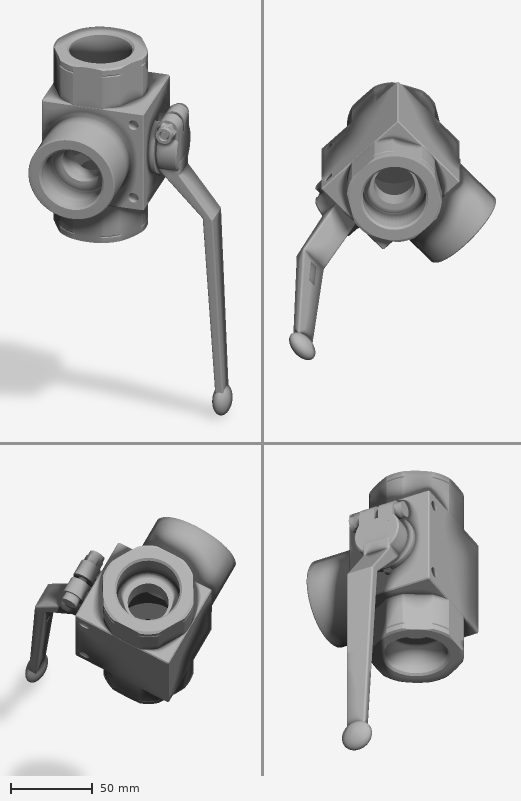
import cadquery as cq
import math


BLOCK_LEFT = -29.3
BLOCK_RIGHT = 35.8
BLOCK_LENGTH = BLOCK_RIGHT - BLOCK_LEFT
BLOCK_HALF_HEIGHT = 33.5
BLOCK_HALF_WIDTH = 27.6
BLOCK_CHAMFER = 0.7

PORT_TOP = 60.0
ACROSS_FLATS = 55.0
HEX_ROUND_RADIUS = 29.0
HEX_END_CHAMFER = 0.7
GROOVE_HEIGHT = 55.2
GROOVE_WIDTH = 1.2
GROOVE_DEPTH = 0.5

SIDE_PORT_END = 61.5
SIDE_PORT_RADIUS = 27.6
SIDE_PORT_CHAMFER = 0.7
NECK_FILLET = 2.0

PASSAGE_DIAMETER = 25.0
CAVITY_DIAMETER = 46.0
SOCKET_DIAMETER = 38.7
SOCKET_FLOOR_DIAMETER = 37.2
SOCKET_MOUTH_DIAMETER = 41.3
SOCKET_DEPTH = 22.3
FLOOR_BEVEL = (SOCKET_DIAMETER - SOCKET_FLOOR_DIAMETER) / 2
MOUTH_CHAMFER = (SOCKET_MOUTH_DIAMETER - SOCKET_DIAMETER) / 2

MOUNT_HOLE_DIAMETER = 6.5
MOUNT_HOLE_X = 29.3
MOUNT_HOLE_Z = 25.0

FLANGE_DIAMETER = 37.2
FLANGE_RIGHT = 39.5
FLANGE_NOTCH_DIAMETER = 10.0
STEM_DIAMETER = 20.0
STOP_PIN_DIAMETER = 4.8
STOP_PIN_RIGHT = 38.7
STOP_PIN_Z = -19.5

HUB_LEFT = FLANGE_RIGHT
HUB_RIGHT = 52.8
HUB_WIDTH = HUB_RIGHT - HUB_LEFT
HUB_RADIUS = 15.4
HUB_CHAMFER = 1.0
EAR_HALF_WIDTH = 11.5
EAR_RADIUS = HUB_WIDTH / 2
SLIT_WIDTH = 3.0

BOLT_X = (HUB_LEFT + HUB_RIGHT) / 2
BOLT_Z = 15.9
BOLT_DIAMETER = 6.0
HEAD_DIAMETER = 10.0
HEAD_END = 16.3
NUT_ACROSS_FLATS = 10.0
NUT_END = -16.5
COLLAR_END = -19.7
COLLAR_DIAMETER = NUT_ACROSS_FLATS
COLLAR_BORE_DIAMETER = 6.5
BOLT_TIP_DIAMETER = 4.8
BOLT_TIP_END = -18.7

ARM_ROOT_Z = -7.2
ARM_INNER_Z = -13.7
ARM_OUTER_X = 53.0
ARM_OUTER_Z = -15.4
BEND_Z = -43.0
BEND_INNER_X = 67.5
BEND_OUTER_X = 74.2
BLADE_END_Z = -165.7
BLADE_END_INNER_X = 74.7
BLADE_END_OUTER_X = 80.0
ARM_WIDTH = 18.3
BLADE_END_WIDTH = 12.5
LEVER_FILLET = 1.2

LABEL_WIDTH = 4.8
LABEL_TOP = -50.5
LABEL_BOTTOM = -79.3
LABEL_DEPTH = 0.5

KNOB_DIAMETER = 20.0
KNOB_RADIUS = KNOB_DIAMETER / 2
KNOB_HALF_THICKNESS = 5.8
KNOB_X = 77.5
OVERALL_HEIGHT = 240.2
KNOB_Z = PORT_TOP - OVERALL_HEIGHT + KNOB_RADIUS


def rod(start, end, diameter, axis, center=(0, 0)):
    """Cylinder along X, Y or Z; center gives the other two coordinates in axis order."""
    first, second = center
    points = {
        "X": ((start, first, second), (1, 0, 0)),
        "Y": ((first, start, second), (0, 1, 0)),
        "Z": ((first, second, start), (0, 0, 1)),
    }
    base, direction = points[axis]
    span = end - start
    heading = cq.Vector(*direction) * math.copysign(1, span)
    return cq.Workplane(cq.Solid.makeCylinder(diameter / 2, abs(span), cq.Vector(*base), heading))


def hex_ports():
    """Hexagonal bar with turned corners, running through both vertical ports."""
    turned = (
        rod(-PORT_TOP, PORT_TOP, 2 * HEX_ROUND_RADIUS, "Z")
        .faces("|Z")
        .chamfer(HEX_END_CHAMFER, HEX_ROUND_RADIUS - ACROSS_FLATS / 2)
    )
    half_width = GROOVE_WIDTH / 2
    groove_root = HEX_ROUND_RADIUS - GROOVE_DEPTH
    for side in (-1, 1):
        level = side * GROOVE_HEIGHT
        groove = (
            cq.Workplane("XZ")
            .moveTo(groove_root, level)
            .lineTo(HEX_ROUND_RADIUS, level + half_width)
            .lineTo(HEX_ROUND_RADIUS, level - half_width)
            .close()
            .revolve(360, (0, 0), (0, 1))
        )
        turned = turned.cut(groove)
    corner_diameter = ACROSS_FLATS / math.cos(math.pi / 6)
    hexagon = (
        cq.Workplane("XY")
        .workplane(offset=-PORT_TOP)
        .polygon(6, corner_diameter)
        .extrude(2 * PORT_TOP)
    )
    return turned.intersect(hexagon)


def valve_block():
    block = (
        cq.Workplane("XY")
        .box(BLOCK_LENGTH, 2 * BLOCK_HALF_WIDTH, 2 * BLOCK_HALF_HEIGHT)
        .edges()
        .chamfer(BLOCK_CHAMFER)
    )
    return block.translate(((BLOCK_LEFT + BLOCK_RIGHT) / 2, 0, 0))


def side_port():
    """Round port towards -Y with a concave fillet where it leaves the block."""
    neck_y = BLOCK_HALF_WIDTH + NECK_FILLET
    fillet_outer_radius = SIDE_PORT_RADIUS + NECK_FILLET
    arc_offset = NECK_FILLET * (1 - math.sqrt(0.5))
    port = (
        cq.Workplane("XY")
        .lineTo(fillet_outer_radius, 0)
        .lineTo(fillet_outer_radius, -BLOCK_HALF_WIDTH)
        .threePointArc(
            (SIDE_PORT_RADIUS + arc_offset, -BLOCK_HALF_WIDTH - arc_offset),
            (SIDE_PORT_RADIUS, -neck_y),
        )
        .lineTo(SIDE_PORT_RADIUS, -SIDE_PORT_END + SIDE_PORT_CHAMFER)
        .lineTo(SIDE_PORT_RADIUS - SIDE_PORT_CHAMFER, -SIDE_PORT_END)
        .lineTo(0, -SIDE_PORT_END)
        .close()
        .revolve(360, (0, 0), (0, 1))
    )
    block_span = (
        cq.Workplane("XY")
        .box(BLOCK_LENGTH, 2 * SIDE_PORT_END, 2 * BLOCK_HALF_HEIGHT)
        .translate(((BLOCK_LEFT + BLOCK_RIGHT) / 2, 0, 0))
    )
    return port.intersect(block_span)


def port_passage(port_end, direction):
    """Passage from the origin to a port end, with a wider socket, bevelled at its floor and mouth."""
    floor = port_end - SOCKET_DEPTH
    mouth_start = port_end - MOUTH_CHAMFER
    passage = (
        cq.Workplane("XZ")
        .lineTo(PASSAGE_DIAMETER / 2, 0)
        .lineTo(PASSAGE_DIAMETER / 2, floor)
        .lineTo(SOCKET_FLOOR_DIAMETER / 2, floor)
        .lineTo(SOCKET_DIAMETER / 2, floor + FLOOR_BEVEL)
        .lineTo(SOCKET_DIAMETER / 2, mouth_start)
        .lineTo(SOCKET_MOUTH_DIAMETER / 2, port_end)
        .lineTo(0, port_end)
        .close()
        .revolve(360, (0, 0), (0, 1))
    )
    tilt = {"up": 0, "front": 90, "down": 180}[direction]
    return passage.rotate((0, 0, 0), (1, 0, 0), tilt)


def make_housing():
    housing = valve_block().union(hex_ports())
    housing = housing.union(side_port())
    flange = rod(BLOCK_RIGHT, FLANGE_RIGHT, FLANGE_DIAMETER, "X")
    notch = rod(BLOCK_RIGHT, FLANGE_RIGHT, FLANGE_NOTCH_DIAMETER, "X", (0, FLANGE_DIAMETER / 2))
    housing = housing.union(flange.cut(notch))
    housing = housing.union(rod(BLOCK_RIGHT, HUB_RIGHT, STEM_DIAMETER, "X"))
    housing = housing.union(rod(BLOCK_RIGHT, STOP_PIN_RIGHT, STOP_PIN_DIAMETER, "X", (0, STOP_PIN_Z)))
    housing = housing.cut(port_passage(PORT_TOP, "up"))
    housing = housing.cut(port_passage(PORT_TOP, "down"))
    housing = housing.cut(port_passage(SIDE_PORT_END, "front"))
    half_cavity = CAVITY_DIAMETER / 2
    housing = housing.cut(rod(-half_cavity, half_cavity, CAVITY_DIAMETER, "Z"))
    for side in (-1, 1):
        center = (MOUNT_HOLE_X, side * MOUNT_HOLE_Z)
        housing = housing.cut(
            rod(-BLOCK_HALF_WIDTH, BLOCK_HALF_WIDTH, MOUNT_HOLE_DIAMETER, "Y", center)
        )
    return housing


def clamp_hub():
    """Hub around the stem with two ears above it, split by a slit."""
    hub = rod(HUB_LEFT, HUB_RIGHT, 2 * HUB_RADIUS, "X").faces("|X").chamfer(HUB_CHAMFER)
    ear_width = 2 * EAR_HALF_WIDTH
    ear_flanks = cq.Workplane("XY").box(HUB_WIDTH, ear_width, BOLT_Z, centered=(True, True, False))
    ears = ear_flanks.translate((BOLT_X, 0, 0)).union(
        rod(-EAR_HALF_WIDTH, EAR_HALF_WIDTH, 2 * EAR_RADIUS, "Y", (BOLT_X, BOLT_Z))
    )
    slit_top = BOLT_Z + EAR_RADIUS
    slit = cq.Workplane("XY").box(HUB_WIDTH, SLIT_WIDTH, slit_top, centered=(True, True, False))
    hub_top = (
        cq.Workplane("XY")
        .box(HUB_WIDTH, 2 * HUB_RADIUS, HUB_RADIUS, centered=(True, True, False))
        .translate((BOLT_X, 0, math.sqrt(HUB_RADIUS**2 - EAR_HALF_WIDTH**2)))
    )
    return hub.cut(hub_top).union(ears).cut(slit.translate((BOLT_X, 0, 0)))


def clamp_bolt():
    """Bolt with a round head and a collared lock nut."""
    center = (BOLT_X, BOLT_Z)
    shank = rod(-EAR_HALF_WIDTH, EAR_HALF_WIDTH, BOLT_DIAMETER, "Y", center)
    head = rod(EAR_HALF_WIDTH, HEAD_END, HEAD_DIAMETER, "Y", center)
    nut = (
        cq.Workplane("XZ", origin=(BOLT_X, -EAR_HALF_WIDTH, BOLT_Z))
        .polygon(6, NUT_ACROSS_FLATS / math.cos(math.pi / 6))
        .extrude(-EAR_HALF_WIDTH - NUT_END)
    )
    collar = rod(NUT_END, COLLAR_END, COLLAR_DIAMETER, "Y", center)
    collar = collar.cut(rod(NUT_END, COLLAR_END, COLLAR_BORE_DIAMETER, "Y", center))
    tip = rod(NUT_END, BOLT_TIP_END, BOLT_TIP_DIAMETER, "Y", center)
    return shank.union(head).union(nut).union(collar).union(tip)


def lever():
    """Cranked lever: a sloping arm and a tapering blade with rounded edges."""
    side_outline = [
        (HUB_LEFT, ARM_ROOT_Z),
        (HUB_LEFT, ARM_INNER_Z),
        (BEND_INNER_X, BEND_Z),
        (BLADE_END_INNER_X, BLADE_END_Z),
        (BLADE_END_OUTER_X, BLADE_END_Z),
        (BEND_OUTER_X, BEND_Z),
        (ARM_OUTER_X, ARM_OUTER_Z),
        (ARM_OUTER_X, ARM_ROOT_Z),
    ]
    side_shape = cq.Workplane("XZ").polyline(side_outline).close().extrude(ARM_WIDTH / 2, both=True)
    width_outline = [
        (ARM_WIDTH / 2, ARM_ROOT_Z),
        (ARM_WIDTH / 2, BEND_Z),
        (BLADE_END_WIDTH / 2, BLADE_END_Z),
        (-BLADE_END_WIDTH / 2, BLADE_END_Z),
        (-ARM_WIDTH / 2, BEND_Z),
        (-ARM_WIDTH / 2, ARM_ROOT_Z),
    ]
    width_shape = cq.Workplane("YZ").polyline(width_outline).close().extrude(2 * BLADE_END_OUTER_X)
    bar = side_shape.intersect(width_shape)
    return bar.edges("(not |X) and (not |Y)").fillet(LEVER_FILLET)


def label_recess():
    """Shallow rectangle that follows the tilt of the blade's inner face."""
    slope = (BLADE_END_INNER_X - BEND_INNER_X) / (BLADE_END_Z - BEND_Z)
    top_x = BEND_INNER_X + slope * (LABEL_TOP - BEND_Z)
    bottom_x = BEND_INNER_X + slope * (LABEL_BOTTOM - BEND_Z)
    outline = [
        (top_x, LABEL_TOP),
        (bottom_x, LABEL_BOTTOM),
        (bottom_x + LABEL_DEPTH, LABEL_BOTTOM),
        (top_x + LABEL_DEPTH, LABEL_TOP),
    ]
    return cq.Workplane("XZ").polyline(outline).close().extrude(LABEL_WIDTH / 2, both=True)


def knob():
    """Flattened ball, turned about an axis parallel to X."""
    return (
        cq.Workplane("XZ", origin=(KNOB_X, 0, KNOB_Z))
        .moveTo(KNOB_HALF_THICKNESS, 0)
        .ellipseArc(KNOB_HALF_THICKNESS, KNOB_RADIUS, 0, 180, startAtCurrent=True)
        .close()
        .revolve(360, (0, 0), (1, 0))
    )


def make_handle():
    handle = clamp_hub().union(lever())
    handle = handle.cut(rod(HUB_LEFT, HUB_RIGHT, STEM_DIAMETER, "X"))
    handle = handle.cut(label_recess())
    return handle.union(clamp_bolt()).union(knob())


housing = make_housing()
handle = make_handle()
result = cq.Compound.makeCompound([housing.val(), handle.val()])